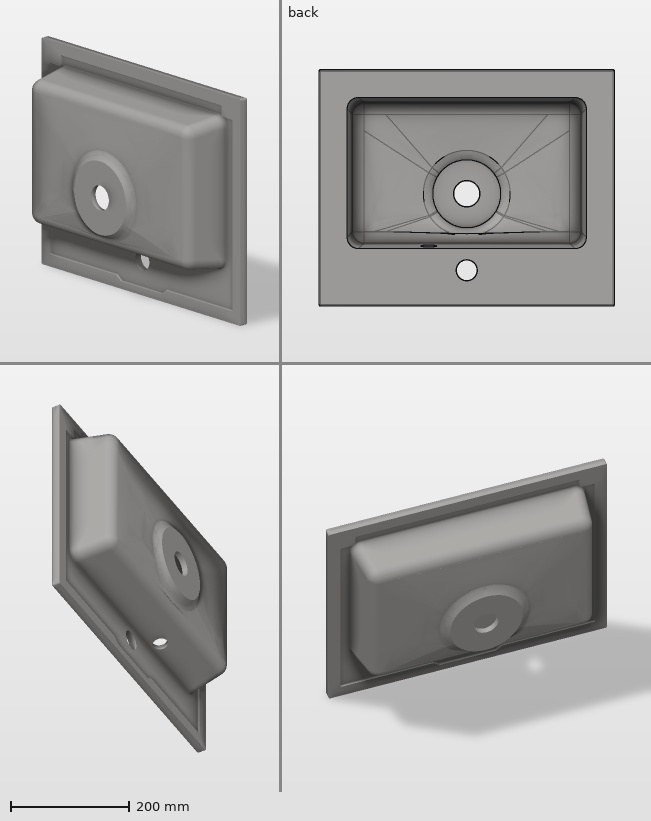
import cadquery as cq
import math


slab_width = 500.0
slab_height = 400.0
slab_thickness = 16.0
slab_rounding = 3.0

recess_depth = 3.0
recess_floor_rounding = 2.0
recess_corner_radius = 2.5
recess_half_width = 229.0
recess_top = 159.5
recess_bottom = -178.5
tab_half_width = 201.5
tab_top = 179.0
notch_half_width_outer = 62.0
notch_half_width_inner = 50.5
notch_bottom = -187.0

bowl_half_width = 210.5
bowl_top = 161.0
bowl_bottom = -111.0
bowl_draft = 8.0
bowl_rounding = 19.5
bowl_root_rounding = 2.5
floor_depth = 92.5
wall = 10.0

drain_z = -10.0
drain_depth = 110.0
drain_hole_radius = 22.0
boss_radius = 65.0
shoulder_radius = 72.0
shoulder_depth = 104.5
rim_radius = 81.0
rim_depth = 100.5
rim_drop = 7.0
shoulder_drop = 4.5
lower_squeeze = 1.5
floor_half_width = 183.5
floor_top = 134.0
floor_bottom = -84.0
floor_bow = 3.0
floor_bow_rise = 0.5
upper_split_x = 147.0
upper_split_z = 106.5
lower_split_inner_x = 147.0
lower_split_outer_x = 166.5
mound_base_depth = 70.0
boss_thinning = 7.5

split_angles = (37.0, 29.0, -30.0, -32.0)

patch_divisions = 8
patch_stations = [k / patch_divisions for k in range(1, patch_divisions)]

tap_hole_radius = 17.5
tap_hole_z = -139.5
overflow_radius = 13.0
overflow_x = 64.5
overflow_depth = 33.0

clearance = 5.0

back_plane_depth = slab_thickness - recess_depth


def at_depth(depth):
    """Workplane facing -Y at the given depth, with local axes X and Z."""
    return cq.Workplane("XZ", origin=(0, -depth, 0))


def make_slab():
    slab = at_depth(0).rect(slab_width, slab_height).extrude(slab_thickness)
    return slab.edges("|Y or >Y").fillet(slab_rounding)


def make_recess():
    right_side = [
        (notch_half_width_inner, notch_bottom),
        (notch_half_width_outer, recess_bottom),
        (recess_half_width, recess_bottom),
        (recess_half_width, recess_top),
        (tab_half_width, recess_top),
        (tab_half_width, tab_top),
    ]
    left_side = [(-x, z) for x, z in reversed(right_side)]
    outline = at_depth(back_plane_depth).polyline(right_side + left_side).close()
    recess = outline.extrude(recess_depth).edges("|Y").fillet(recess_corner_radius)
    return recess.faces(">Y").edges().fillet(recess_floor_rounding)


def make_bowl(start_depth, inset):
    """Drafted box with rounded sides and floor, shrunk by inset on every face."""
    spread = (back_plane_depth - start_depth) * math.tan(math.radians(bowl_draft))
    half_width = bowl_half_width - inset + spread
    top = bowl_top - inset + spread
    bottom = bowl_bottom + inset - spread
    height = floor_depth - inset - start_depth
    bowl = (
        at_depth(start_depth)
        .center(0, (top + bottom) / 2)
        .rect(2 * half_width, top - bottom)
        .extrude(height, taper=bowl_draft)
    )
    return bowl.edges("not >Y").fillet(bowl_rounding)


def make_flared_bowl():
    """Bowl on a plate that ends at the recess floor, with its root filleted."""
    plate = at_depth(0).rect(2 * recess_half_width, 2 * tab_top).extrude(back_plane_depth)
    margin = bowl_root_rounding / 2
    root_zone = cq.selectors.BoxSelector(
        (-bowl_half_width - margin, -back_plane_depth - margin, bowl_bottom - margin),
        (bowl_half_width + margin, -back_plane_depth + margin, bowl_top + margin),
        boundingbox=True,
    )
    return plate.union(make_bowl(back_plane_depth, 0)).edges(root_zone).fillet(bowl_root_rounding)


def line_or_arc(start, end, middle=None):
    if middle is None:
        return cq.Edge.makeLine(start, end)
    return cq.Edge.makeThreePointArc(start, middle, end)


def floor_sides(inset, depth, bow_rise):
    """Floor outline, clockwise from the upper right corner, one list of edges per patch.

    Corner patches take both edges that meet at the corner, and the lower side bows outwards.
    """
    side = floor_half_width - inset
    top = floor_top - inset
    bottom = floor_bottom + inset

    def point(x, z):
        return cq.Vector(x, -depth, z)

    def mirrored(vector):
        return cq.Vector(-vector.x, vector.y, vector.z)

    upper = [point(upper_split_x - inset, top), point(side, top), point(side, upper_split_z - inset)]
    lower = [
        point(side, bottom),
        point(lower_split_outer_x - inset, bottom),
        point(lower_split_inner_x - inset, bottom),
    ]
    bow = cq.Vector(0, bow_rise - depth, bottom - floor_bow)
    right_chains = [upper, [upper[2], lower[0], lower[1]], [lower[1], lower[2]]]
    left_chains = [[mirrored(p) for p in reversed(chain)] for chain in reversed(right_chains)]
    right_sides = [[line_or_arc(p, q) for p, q in zip(c, c[1:])] for c in right_chains]
    left_sides = [[line_or_arc(p, q) for p, q in zip(c, c[1:])] for c in left_chains]
    lower_side = [line_or_arc(lower[2], mirrored(lower[2]), bow)]
    upper_side = [line_or_arc(mirrored(upper[0]), upper[0])]
    return right_sides + [lower_side] + left_sides + [upper_side]


def drain_point(angle, radius, depth):
    turn = math.radians(angle)
    return cq.Vector(radius * math.cos(turn), -depth, drain_z + radius * math.sin(turn))


def drain_angles():
    """Start, middle and end angle of each patch, clockwise from the upper right corner."""
    starts = list(split_angles) + [-180 - angle for angle in reversed(split_angles)]
    ends = starts[1:] + [starts[0] - 360]
    return [(start, (start + end) / 2, end) for start, end in zip(starts, ends)]


def drain_arcs(radius, depth, drop):
    """Ring about the drain axis whose lowest stretch rises towards the rim slab by drop."""
    arcs = []
    for start, middle, end in drain_angles():
        lowest = middle == -90
        middle_radius = radius - lower_squeeze if lowest and drop else radius
        middle_depth = depth - drop if lowest else depth
        arcs.append(
            line_or_arc(
                drain_point(start, radius, depth),
                drain_point(end, radius, depth),
                drain_point(middle, middle_radius, middle_depth),
            )
        )
    return arcs


def make_mound(inset, thinning):
    """Sloping floor that funnels from the floor outline into the flared drain boss."""
    base = floor_sides(inset, mound_base_depth - inset, 0)
    floor = floor_sides(inset, floor_depth - inset, floor_bow_rise)
    rim = drain_arcs(rim_radius - thinning, rim_depth - inset, rim_drop)
    shoulder = drain_arcs(shoulder_radius - thinning, shoulder_depth - inset, shoulder_drop)
    boss = drain_arcs(boss_radius - thinning, drain_depth - inset, 0)

    faces = []
    for base_edges, floor_edges in zip(base, floor):
        faces += [cq.Face.makeRuledSurface(p, q) for p, q in zip(base_edges, floor_edges)]
    for floor_edges, arc in zip(floor, rim):
        if len(floor_edges) == 1:
            faces.append(cq.Face.makeRuledSurface(floor_edges[0], arc))
        else:
            starts = line_or_arc(floor_edges[0].startPoint(), arc.startPoint())
            ends = line_or_arc(floor_edges[-1].endPoint(), arc.endPoint())
            longest = max(floor_edges, key=lambda edge: edge.Length())
            halfway = [(longest.positionAt(t) + arc.positionAt(t)) * 0.5 for t in patch_stations]
            faces.append(cq.Face.makeNSidedSurface(floor_edges + [ends, arc, starts], halfway))
    for outer, waist, inner in zip(rim, shoulder, boss):
        flare_start = line_or_arc(outer.startPoint(), inner.startPoint(), waist.startPoint())
        flare_end = line_or_arc(outer.endPoint(), inner.endPoint(), waist.endPoint())
        waist_points = [waist.positionAt(t) for t in patch_stations]
        faces.append(cq.Face.makeNSidedSurface([outer, flare_end, inner, flare_start], waist_points))
    base_outline = [edge for edges in base for edge in edges]
    for outline in (base_outline, boss):
        faces.append(cq.Face.makeFromWires(cq.Wire.assembleEdges(outline)))
    shell = cq.Shell.makeShell(faces)
    return cq.Workplane(cq.Solid.makeSolid(shell).fix())


def make_round_hole(z, radius, depth):
    """Cutter along Y on the centre line of the basin, from the top face to past the given depth."""
    start = at_depth(-clearance).center(0, z)
    return start.circle(radius).extrude(depth + 2 * clearance)


def make_overflow():
    """Round hole square to the drafted lower wall of the bowl."""
    draft = math.radians(bowl_draft)
    wall_z = bowl_bottom + (overflow_depth - back_plane_depth) * math.tan(draft)
    normal = cq.Vector(0, -math.sin(draft), -math.cos(draft))
    centre = cq.Vector(overflow_x, -overflow_depth, wall_z)
    half_length = wall + clearance
    return cq.Solid.makeCylinder(overflow_radius, 2 * half_length, centre - normal * half_length, normal)


slab = make_slab().cut(make_recess())
outside = slab.union(make_flared_bowl()).union(make_mound(0, 0))
basin = outside.cut(make_bowl(0, wall)).cut(make_mound(wall, boss_thinning))

drain_hole = make_round_hole(drain_z, drain_hole_radius, drain_depth)
tap_hole = make_round_hole(tap_hole_z, tap_hole_radius, slab_thickness)
result = basin.cut(drain_hole).cut(tap_hole).cut(make_overflow())